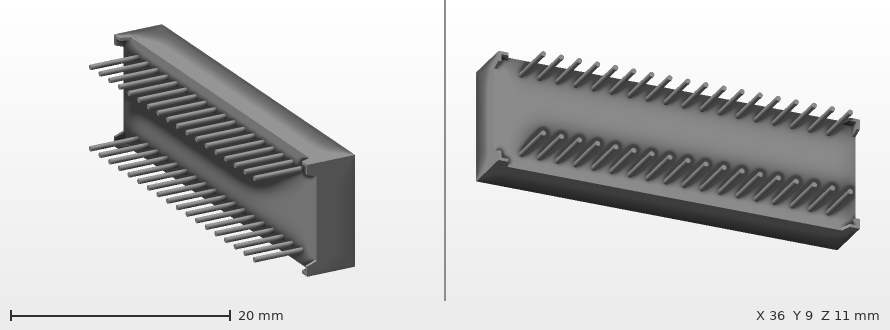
import cadquery as cq

BODY_LENGTH = 36.0
BODY_HEIGHT = 11.0
BODY_DEPTH = 4.0
FOOT_RISE = 1.0
FOOT_TIP_LEG = 1.0
FOOT_ROOT_LEG = 1.35
FOOT_WALL = 0.3

PIN_DIAMETER = 0.5
PIN_LENGTH = 5.0
PIN_PITCH = 1.8
PINS_PER_ROW = 18
ROW_SPACING = 8.0

MARK_INSET = 0.6
MARK_LENGTH = 1.3
MARK_WIDTH = 0.12
MARK_OFFSET = 0.3
MARK_DEPTH = 0.1

HALF_LENGTH = BODY_LENGTH / 2
HALF_HEIGHT = BODY_HEIGHT / 2


def make_body():
    return cq.Workplane("XY").box(BODY_LENGTH, BODY_DEPTH, BODY_HEIGHT).translate((0, BODY_DEPTH / 2, 0))


def foot_profile():
    """Tapered leg outline as (distance from the corner, Y) points."""
    return [(0, 0), (FOOT_ROOT_LEG, 0), (FOOT_TIP_LEG, -FOOT_RISE), (0, -FOOT_RISE)]


def make_foot():
    """L-shaped foot at the -X, -Z corner, its two legs flush with the body sides."""
    leg_along_x = cq.Workplane("XY").polyline(foot_profile()).close().extrude(FOOT_WALL)
    leg_along_z = (
        cq.Workplane("YZ")
        .polyline([(y, distance) for distance, y in foot_profile()])
        .close()
        .extrude(FOOT_WALL)
    )
    return leg_along_x.union(leg_along_z).translate((-HALF_LENGTH, 0, -HALF_HEIGHT))


def make_feet():
    foot_pair = make_foot()
    foot_pair = foot_pair.union(foot_pair.mirror("YZ"))
    return foot_pair.union(foot_pair.mirror("XY"))


def make_pins():
    """Two rows of round pins; the XZ workplane normal points along -Y."""
    return (
        cq.Workplane("XZ")
        .rarray(PIN_PITCH, ROW_SPACING, PINS_PER_ROW, 2)
        .circle(PIN_DIAMETER / 2)
        .extrude(PIN_LENGTH)
    )


def make_mark():
    """Shallow wedge-shaped groove in the +Z side, pointing toward the -X end."""
    tip_x = -HALF_LENGTH + MARK_INSET
    blunt_x = tip_x + MARK_LENGTH
    return (
        cq.Workplane("XY")
        .workplane(offset=HALF_HEIGHT)
        .polyline([(tip_x, MARK_OFFSET), (blunt_x, MARK_OFFSET), (blunt_x, MARK_OFFSET + MARK_WIDTH)])
        .close()
        .extrude(-MARK_DEPTH)
    )


result = make_body().cut(make_mark()).union(make_feet()).union(make_pins())